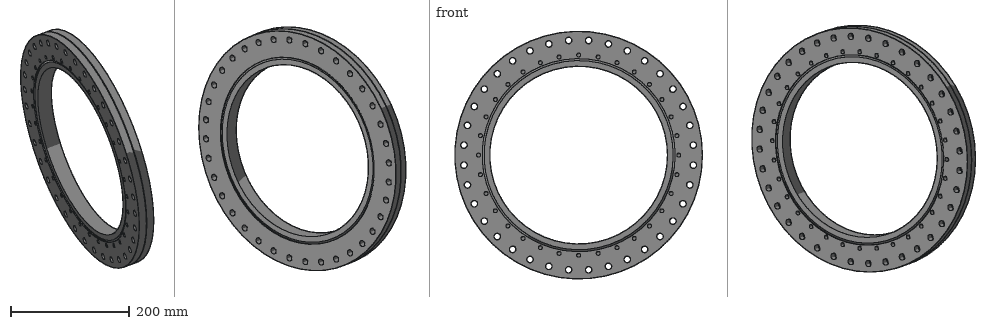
import cadquery as cq
import math

outer_diameter = 419.0
bore_diameter = 300.0
thickness = 28.5
edge_chamfer = 0.5

seal_wall_diameter = 326.5
seal_crest_diameter = 319.8
seal_wall_depth = 2.3
seal_land_depth = 1.05

rim_groove_width = 1.3
rim_groove_floor_diameter = 377.0

bolt_count = 36
bolt_diameter = 10.5
bolt_circle_diameter = 389.5

blind_count = 32
blind_diameter = 6.5
blind_circle_diameter = 338.5
blind_depth = 10.5
drill_tip_angle = 118.0
flat_hole_index = blind_count // 2

face_y = thickness / 2
front_y = -face_y


def revolve_about_y(points):
    """Revolve a closed outline of (radius, y) points about the Y axis."""
    return cq.Workplane("XY").polyline(points).close().revolve(360, (0, 0, 0), (0, 1, 0))


def make_ring():
    """Plain ring with the sealing recesses, the rim groove and chamfered outer edges."""
    outer_radius = outer_diameter / 2
    bore_radius = bore_diameter / 2
    wall_radius = seal_wall_diameter / 2
    groove_floor_radius = rim_groove_floor_diameter / 2
    groove_y = rim_groove_width / 2
    back_half = [
        (bore_radius, face_y - seal_land_depth),
        (seal_crest_diameter / 2, face_y - seal_land_depth),
        (wall_radius, face_y - seal_wall_depth),
        (wall_radius, face_y),
        (outer_radius - edge_chamfer, face_y),
        (outer_radius, face_y - edge_chamfer),
        (outer_radius, groove_y),
        (groove_floor_radius, groove_y),
    ]
    front_half = [(radius, -y) for radius, y in reversed(back_half)]
    return revolve_about_y(back_half + front_half)


def make_bolt_hole():
    """Cutter for a through hole, on the Y axis."""
    return cq.Workplane("XZ").circle(bolt_diameter / 2).extrude(face_y, both=True)


def make_blind_hole(has_tip):
    """Cutter for a blind hole from the front face, on the Y axis."""
    radius = blind_diameter / 2
    floor_y = front_y + blind_depth
    outline = [(0, front_y), (radius, front_y), (radius, floor_y)]
    if has_tip:
        tip_length = radius / math.tan(math.radians(drill_tip_angle / 2))
        outline.append((0, floor_y + tip_length))
    else:
        outline.append((0, floor_y))
    return revolve_about_y(outline)


def place_on_circle(shape, circle_diameter, position, count):
    """Move a shape off the Y axis to one of count equal steps from +X towards +Z."""
    radius = circle_diameter / 2
    angle = 2 * math.pi * position / count
    return shape.translate((radius * math.cos(angle), 0, radius * math.sin(angle)))


result = make_ring()

for i in range(bolt_count):
    bolt_hole = make_bolt_hole()
    result = result.cut(place_on_circle(bolt_hole, bolt_circle_diameter, i + 0.5, bolt_count))

for i in range(blind_count):
    blind_hole = make_blind_hole(has_tip=i != flat_hole_index)
    result = result.cut(place_on_circle(blind_hole, blind_circle_diameter, i, blind_count))